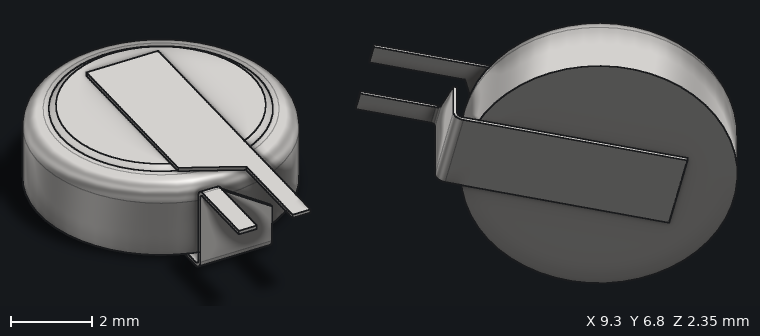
import cadquery as cq
import math

cell_diameter = 6.8
cell_radius = cell_diameter / 2
shoulder_fillet = 0.5
cap_step = 0.1
cap_base_radius = 2.75
cap_top_radius = 2.58

total_length = 9.3
total_height = 2.35
tab_thickness = 0.1
tab_width = 2.0
finger_width = 0.5
tab_start_x = -2.0
tab_end_x = total_length - cell_radius
tab_edge_y = tab_width / 2

taper_start_x = 2.75
taper_end_x = 3.5

riser_outer_x = 3.91
riser_inner_x = riser_outer_x - tab_thickness
lower_bend_radius = 0.15
upper_bend_radius = 0.1
riser_taper_drop = 0.995

cell_bottom_z = tab_thickness
cell_top_z = total_height - tab_thickness
shoulder_z = cell_top_z - cap_step


def make_cell():
    """Round button cell with a rounded shoulder and a bevelled cap."""
    arc_middle = shoulder_fillet * math.sqrt(0.5)
    fillet_centre_r = cell_radius - shoulder_fillet
    fillet_centre_z = shoulder_z - shoulder_fillet
    return (
        cq.Workplane("XZ")
        .moveTo(0, cell_bottom_z)
        .lineTo(cell_radius, cell_bottom_z)
        .lineTo(cell_radius, fillet_centre_z)
        .threePointArc(
            (fillet_centre_r + arc_middle, fillet_centre_z + arc_middle),
            (fillet_centre_r, shoulder_z),
        )
        .lineTo(cap_base_radius, shoulder_z)
        .lineTo(cap_top_radius, cell_top_z)
        .lineTo(0, cell_top_z)
        .close()
        .revolve(360, (0, 0), (0, 1))
    )


def make_top_tab():
    """Flat strip on the cap, tapering to a finger along its +Y edge."""
    finger_inner_y = tab_edge_y - finger_width
    return (
        cq.Workplane("XY", origin=(0, 0, cell_top_z))
        .polyline([
            (tab_start_x, -tab_edge_y),
            (taper_start_x, -tab_edge_y),
            (taper_end_x, finger_inner_y),
            (tab_end_x, finger_inner_y),
            (tab_end_x, tab_edge_y),
            (tab_start_x, tab_edge_y),
        ])
        .close()
        .extrude(tab_thickness)
    )


def make_bent_strip():
    """Full-width strip: under the cell, up the riser and out at the top."""
    strip = (
        cq.Workplane("XZ")
        .polyline([
            (tab_start_x, 0),
            (riser_outer_x, 0),
            (riser_outer_x, cell_top_z),
            (tab_end_x, cell_top_z),
            (tab_end_x, total_height),
            (riser_inner_x, total_height),
            (riser_inner_x, tab_thickness),
            (tab_start_x, tab_thickness),
        ])
        .close()
        .extrude(tab_edge_y, both=True)
    )

    def round_edge(body, x, z, radius):
        return body.edges(cq.NearestToPointSelector((x, 0, z))).fillet(radius)

    strip = round_edge(strip, riser_outer_x, 0, lower_bend_radius + tab_thickness)
    strip = round_edge(strip, riser_inner_x, tab_thickness, lower_bend_radius)
    strip = round_edge(strip, riser_inner_x, total_height, upper_bend_radius + tab_thickness)
    return round_edge(strip, riser_outer_x, cell_top_z, upper_bend_radius)


def make_bottom_tab():
    """Bent strip whose top narrows to a finger along its -Y edge."""
    finger_inner_y = finger_width - tab_edge_y
    cut_length = tab_end_x - tab_start_x
    waste = (
        cq.Workplane("YZ", origin=(tab_start_x, 0, 0))
        .polyline([
            (finger_inner_y, total_height),
            (finger_inner_y, cell_top_z),
            (tab_edge_y, cell_top_z - riser_taper_drop),
            (tab_edge_y, total_height),
        ])
        .close()
        .extrude(cut_length)
    )
    return make_bent_strip().cut(waste)


cell = make_cell()
top_tab = make_top_tab()
bottom_tab = make_bottom_tab()

result = cq.Compound.makeCompound([cell.val(), top_tab.val(), bottom_tab.val()])